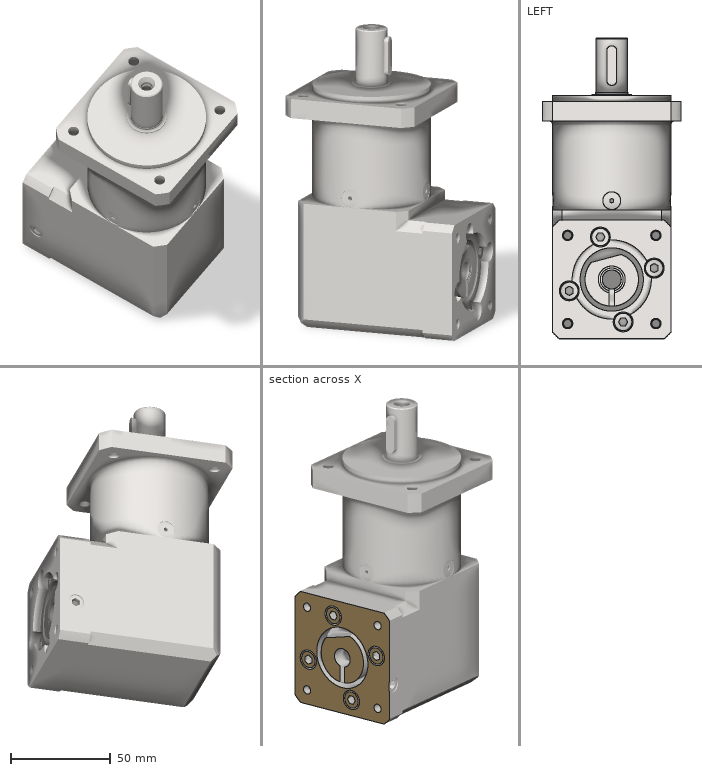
import cadquery as cq
import math


BODY_SIZE = 60.0
HALF_BODY = BODY_SIZE / 2
BODY_CHAMFER = 5.0
TOWER_TOP = 65.0
INPUT_Z = HALF_BODY

ADAPTER_FACE_X = -55.5
ADAPTER_LENGTH = 16.0
ADAPTER_BACK_X = ADAPTER_FACE_X + ADAPTER_LENGTH
ADAPTER_TURNED_DIA = 80.0
PILOT_BORE_DIA = 40.0
PILOT_BORE_DEPTH = 4.0
CLAMP_BORE_DIA = 32.0
CLAMP_BORE_DEPTH = 12.0
MOTOR_BOLT_CIRCLE = 63.0
MOTOR_TAP_DIA = 4.2
MOTOR_TAP_CHAMFER = 0.5
MOTOR_TAP_DEPTH = 10.0

SCREW_CIRCLE = 44.4
SCREW_TILT = 15.0
SCREW_POCKET_DIA = 10.0
SCREW_POCKET_DEPTH = 9.0
SCREW_HEAD_DIA = 8.8
SCREW_HEAD_HEIGHT = 4.0
SCREW_HEX = 4.0
SCREW_HEX_DEPTH = 2.5

HUB_DIA = 27.0
HUB_FACE_DEPTH = PILOT_BORE_DEPTH
HUB_FLAT_OFFSET = 11.0
HUB_SLOT_WIDTH = 2.7
HUB_SLOT_DEPTH = 2.0
SLEEVE_DIA = 13.6
SLEEVE_RECESS = 0.2
MOTOR_SHAFT_DIA = 9.6
MOTOR_SHAFT_SINK_DIA = 11.6
MOTOR_SHAFT_SINK_DEPTH = 0.4
MOTOR_SHAFT_DEPTH = 30.0

SIDE_PLUG_X = -47.1
SIDE_PLUG_Z = 21.0
SIDE_PLUG_DIA = 8.0
SIDE_PLUG_RECESS = 0.5
SIDE_PLUG_HEX = 4.0
SIDE_PLUG_HEX_DEPTH = 3.0

CASE_DIA = 60.0
CASE_PLUG_DIA = 9.0
CASE_PLUG_GAP = 0.3
CASE_PLUG_Z = TOWER_TOP + CASE_PLUG_GAP + CASE_PLUG_DIA / 2
CASE_PLUG_FLAT = 29.6
CASE_PLUG_HEX = 2.0
CASE_PLUG_HEX_DEPTH = 2.0

FLANGE_SIZE = 70.0
FLANGE_TURNED_DIA = 92.0
FLANGE_BOTTOM = 110.0
FLANGE_TOP = 120.0
FLANGE_FILLET = 1.5
FLANGE_BOLT_CIRCLE = 75.0
FLANGE_HOLE_DIA = 5.5
PILOT_DIA = 60.0
PILOT_TOP = 123.0

COLLAR_DIA = 20.0
COLLAR_TOP = 123.5
SHOULDER_DIA = 16.4
SHOULDER_TOP = 124.3
SHAFT_DIA = 16.0
SHAFT_TOP = 152.0
SHAFT_CHAMFER = 0.5
KEY_WIDTH = 5.0
KEY_LENGTH = 20.0
KEY_TOP = 148.0
KEY_REACH = 10.0
CENTRE_SINK_DIA = 8.6
CENTRE_SINK_DEPTH = 2.5
CENTRE_BORE_DIA = 5.8
CENTRE_BORE_DEPTH = 4.5
CENTRE_HOLE_DIA = 4.8
CENTRE_HOLE_DEPTH = 14.0
DRILL_POINT_ANGLE = 118.0


def x_plane(x):
    """Sketch plane facing -X on the motor axis; local x is -Y, local y is +Z."""
    return cq.Workplane(cq.Plane((x, 0, INPUT_Z), xDir=(0, -1, 0), normal=(-1, 0, 0)))


def z_plane(z):
    """Sketch plane facing +Z on the output axis."""
    return cq.Workplane("XY", origin=(0, 0, z))


def square_points(bolt_circle):
    """Four points on the diagonals of a bolt circle."""
    offset = bolt_circle / 2 * math.sqrt(0.5)
    return [(sx * offset, sy * offset) for sx in (-1, 1) for sy in (-1, 1)]


def hex_circle(across_flats):
    """Corner-to-corner size of a hexagon."""
    return across_flats / math.cos(math.radians(30))


def chamfered_column(bottom, top):
    """Vertical square column with chamfered edges."""
    column = z_plane(bottom).rect(BODY_SIZE, BODY_SIZE).extrude(top - bottom)
    return column.edges("|Z").chamfer(BODY_CHAMFER)


def chamfered_beam(x_start, x_end):
    """Square beam along the motor axis with chamfered edges."""
    beam = x_plane(x_end).rect(BODY_SIZE, BODY_SIZE).extrude(x_end - x_start)
    return beam.edges("|X").chamfer(BODY_CHAMFER)


def make_housing():
    """Elbow body: tower above the motor axis, beam to the adapter, mitred outer corner."""
    tower = chamfered_column(INPUT_Z, TOWER_TOP)
    beam = chamfered_beam(ADAPTER_BACK_X, 0)
    corner = chamfered_column(0, INPUT_Z).intersect(chamfered_beam(0, HALF_BODY))
    outer_corner = cq.selectors.NearestToPointSelector((HALF_BODY, 0, 0))
    corner = corner.edges(outer_corner).chamfer(BODY_CHAMFER)
    corner_half = cq.Workplane("XY").box(HALF_BODY, BODY_SIZE, INPUT_Z, centered=(False, True, False))
    return tower.union(beam).union(corner.intersect(corner_half))


def make_adapter():
    """Square plate with turned corners, stepped pilot bore and tapped motor holes."""
    plate = x_plane(ADAPTER_BACK_X).rect(BODY_SIZE, BODY_SIZE).extrude(ADAPTER_LENGTH)
    plate = plate.intersect(x_plane(ADAPTER_BACK_X).circle(ADAPTER_TURNED_DIA / 2).extrude(ADAPTER_LENGTH))
    face = x_plane(ADAPTER_FACE_X)
    plate = plate.cut(face.circle(PILOT_BORE_DIA / 2).extrude(-PILOT_BORE_DEPTH))
    plate = plate.cut(face.circle(CLAMP_BORE_DIA / 2).extrude(-CLAMP_BORE_DEPTH))
    taps = (
        face.pushPoints(square_points(MOTOR_BOLT_CIRCLE))
        .circle(MOTOR_TAP_DIA / 2)
        .extrude(-MOTOR_TAP_DEPTH)
    )
    plate = plate.cut(taps)
    tap_rims = plate.faces("<X").edges("%CIRCLE").edges(cq.selectors.RadiusNthSelector(0))
    return tap_rims.chamfer(MOTOR_TAP_CHAMFER)


def add_adapter_screws(adapter):
    """Four socket-head screws seated in pockets that break into the pilot bore."""
    face = x_plane(ADAPTER_FACE_X)
    seat = x_plane(ADAPTER_FACE_X + SCREW_POCKET_DEPTH)
    head_top = x_plane(ADAPTER_FACE_X + SCREW_POCKET_DEPTH - SCREW_HEAD_HEIGHT)
    radius = SCREW_CIRCLE / 2
    for quarter in range(4):
        angle = math.radians(SCREW_TILT + 90 * quarter)
        centre = (radius * math.cos(angle), radius * math.sin(angle))
        pocket = face.center(*centre).circle(SCREW_POCKET_DIA / 2).extrude(-SCREW_POCKET_DEPTH)
        head = seat.center(*centre).circle(SCREW_HEAD_DIA / 2).extrude(SCREW_HEAD_HEIGHT)
        socket = (
            head_top.center(*centre)
            .transformed(rotate=(0, 0, 90 * (quarter + 1)))
            .polygon(6, hex_circle(SCREW_HEX))
            .extrude(-SCREW_HEX_DEPTH)
        )
        adapter = adapter.cut(pocket).union(head.cut(socket))
    return adapter


def make_clamp_hub():
    """Clamp hub with one flat, a sunk sleeve end and a slot below the bore."""
    length = CLAMP_BORE_DEPTH - HUB_FACE_DEPTH
    face_x = ADAPTER_FACE_X + HUB_FACE_DEPTH
    face = x_plane(face_x)
    hub = face.circle(HUB_DIA / 2).extrude(-length)
    flat_cut = (
        face.transformed(rotate=(0, 0, SCREW_TILT))
        .center(0, HUB_FLAT_OFFSET + HUB_DIA / 2)
        .rect(2 * HUB_DIA, HUB_DIA)
        .extrude(-length)
    )
    slot = face.center(0, -HUB_DIA / 2).rect(HUB_SLOT_WIDTH, HUB_DIA).extrude(-HUB_SLOT_DEPTH)
    sleeve_sink = face.circle(SLEEVE_DIA / 2).extrude(-SLEEVE_RECESS)
    return hub.cut(flat_cut).cut(slot).cut(sleeve_sink)


def cut_motor_shaft_bore(body):
    """Blind bore for the motor shaft."""
    face = x_plane(ADAPTER_FACE_X + HUB_FACE_DEPTH)
    bore = face.circle(MOTOR_SHAFT_DIA / 2).extrude(-MOTOR_SHAFT_DEPTH)
    sink = face.circle(MOTOR_SHAFT_SINK_DIA / 2).extrude(-MOTOR_SHAFT_SINK_DEPTH)
    return body.cut(bore).cut(sink)


def cut_side_plug(body):
    """Sunk socket plug in the -Y wall of the adapter."""
    wall = cq.Workplane("XZ", origin=(SIDE_PLUG_X, -HALF_BODY, SIDE_PLUG_Z))
    recess = wall.circle(SIDE_PLUG_DIA / 2).extrude(-SIDE_PLUG_RECESS)
    socket = (
        wall.transformed(rotate=(0, 0, 90))
        .polygon(6, hex_circle(SIDE_PLUG_HEX))
        .extrude(-SIDE_PLUG_HEX_DEPTH)
    )
    return body.cut(recess).cut(socket)


def make_case():
    """Round gear case with a fillet that flares into the flange."""
    radius = CASE_DIA / 2
    profile = (
        cq.Workplane("XZ")
        .moveTo(0, TOWER_TOP)
        .lineTo(radius, TOWER_TOP)
        .lineTo(radius, FLANGE_BOTTOM - FLANGE_FILLET)
        .radiusArc((radius + FLANGE_FILLET, FLANGE_BOTTOM), FLANGE_FILLET)
        .lineTo(0, FLANGE_BOTTOM)
        .close()
    )
    case = profile.revolve(360, (0, 0, 0), (0, 1, 0))
    for quarter in range(4):
        flat = cq.Workplane("YZ", origin=(CASE_PLUG_FLAT, 0, CASE_PLUG_Z))
        recess = flat.circle(CASE_PLUG_DIA / 2).extrude(radius - CASE_PLUG_FLAT)
        socket = (
            flat.transformed(rotate=(0, 0, 90))
            .polygon(6, hex_circle(CASE_PLUG_HEX))
            .extrude(-CASE_PLUG_HEX_DEPTH)
        )
        case = case.cut(recess.union(socket).rotate((0, 0, 0), (0, 0, 1), 90 * quarter))
    return case


def make_flange():
    """Square output flange with four through holes and a round pilot."""
    flange = z_plane(FLANGE_BOTTOM).rect(FLANGE_SIZE, FLANGE_SIZE).extrude(FLANGE_TOP - FLANGE_BOTTOM)
    turned = z_plane(FLANGE_BOTTOM).circle(FLANGE_TURNED_DIA / 2).extrude(FLANGE_TOP - FLANGE_BOTTOM)
    flange = flange.intersect(turned)
    holes = (
        z_plane(FLANGE_BOTTOM)
        .pushPoints(square_points(FLANGE_BOLT_CIRCLE))
        .circle(FLANGE_HOLE_DIA / 2)
        .extrude(FLANGE_TOP - FLANGE_BOTTOM)
    )
    pilot = z_plane(FLANGE_TOP).circle(PILOT_DIA / 2).extrude(PILOT_TOP - FLANGE_TOP)
    return flange.cut(holes).union(pilot)


def make_shaft():
    """Output shaft with seal collar, key on the -X side and a stepped centre hole."""
    collar = z_plane(PILOT_TOP).circle(COLLAR_DIA / 2).extrude(COLLAR_TOP - PILOT_TOP)
    shoulder = z_plane(PILOT_TOP).circle(SHOULDER_DIA / 2).extrude(SHOULDER_TOP - PILOT_TOP)
    shaft = z_plane(PILOT_TOP).circle(SHAFT_DIA / 2).extrude(SHAFT_TOP - PILOT_TOP)
    shaft = shaft.faces(">Z").chamfer(SHAFT_CHAMFER)
    key = (
        cq.Workplane("YZ", origin=(-KEY_REACH, 0, KEY_TOP - KEY_LENGTH / 2))
        .slot2D(KEY_LENGTH, KEY_WIDTH, 90)
        .extrude(KEY_REACH)
    )
    sink_radius = CENTRE_SINK_DIA / 2
    bore_radius = CENTRE_BORE_DIA / 2
    bore_bottom = SHAFT_TOP - CENTRE_BORE_DEPTH
    hole_radius = CENTRE_HOLE_DIA / 2
    hole_bottom = SHAFT_TOP - CENTRE_HOLE_DEPTH
    point_height = hole_radius / math.tan(math.radians(DRILL_POINT_ANGLE / 2))
    centre_hole = (
        cq.Workplane("XZ")
        .moveTo(0, SHAFT_TOP)
        .lineTo(sink_radius, SHAFT_TOP)
        .lineTo(bore_radius, SHAFT_TOP - CENTRE_SINK_DEPTH)
        .lineTo(bore_radius, bore_bottom)
        .lineTo(hole_radius, bore_bottom)
        .lineTo(hole_radius, hole_bottom)
        .lineTo(0, hole_bottom - point_height)
        .close()
        .revolve(360, (0, 0, 0), (0, 1, 0))
    )
    return shaft.union(key).union(collar).union(shoulder).cut(centre_hole)


adapter = cut_side_plug(add_adapter_screws(make_adapter()))
input_side = make_housing().union(adapter).union(make_clamp_hub())
input_side = cut_motor_shaft_bore(input_side)
result = input_side.union(make_case()).union(make_flange()).union(make_shaft())